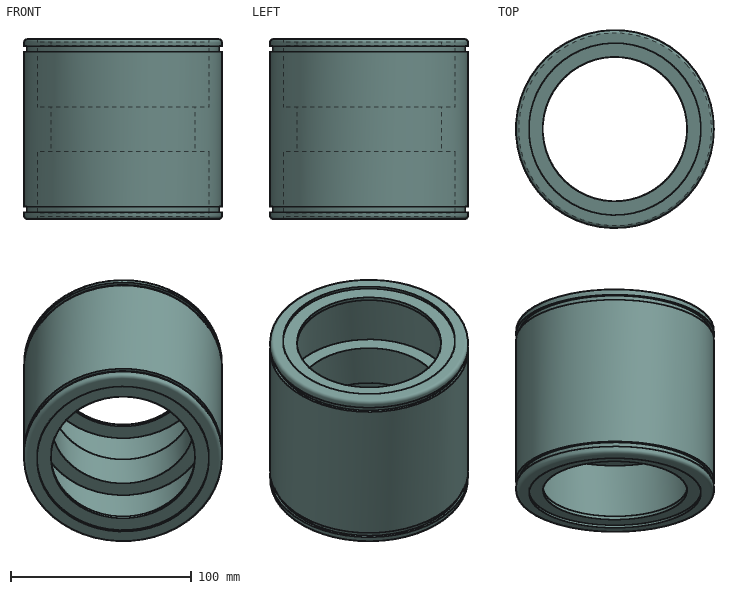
import cadquery as cq

outer_diameter = 110.0
height = 100.0
rim_fillet = 2.0

groove_diameter = 107.0
groove_offset = 4.0
groove_width = 3.1

bore_diameter = 80.0
chamber_diameter = 95.5
recess_depth = 1.5
lip_thickness = 2.0
shelf_depth = 36.1

chamber_height = shelf_depth - lip_thickness
chamber_offset = recess_depth + lip_thickness


def disc(diameter, bottom, thickness):
    """Solid disc on the Z axis."""
    return cq.Workplane("XY").workplane(offset=bottom).circle(diameter / 2).extrude(thickness)


def at_both_ends(diameter, end_offset, thickness):
    """Two equal discs, each starting the same distance inside one end face."""
    lower = disc(diameter, end_offset, thickness)
    upper = disc(diameter, height - end_offset - thickness, thickness)
    return lower.add(upper).combine()


def groove_rings():
    """Material removed by the outside ring grooves."""
    outer = at_both_ends(outer_diameter, groove_offset, groove_width)
    core = disc(groove_diameter, 0, height)
    return outer.cut(core)


sleeve = disc(outer_diameter, 0, height).edges().fillet(rim_fillet)
sleeve = sleeve.cut(groove_rings())
sleeve = sleeve.cut(disc(bore_diameter, 0, height))
sleeve = sleeve.cut(at_both_ends(chamber_diameter, 0, recess_depth))
sleeve = sleeve.cut(at_both_ends(chamber_diameter, chamber_offset, chamber_height))

result = sleeve